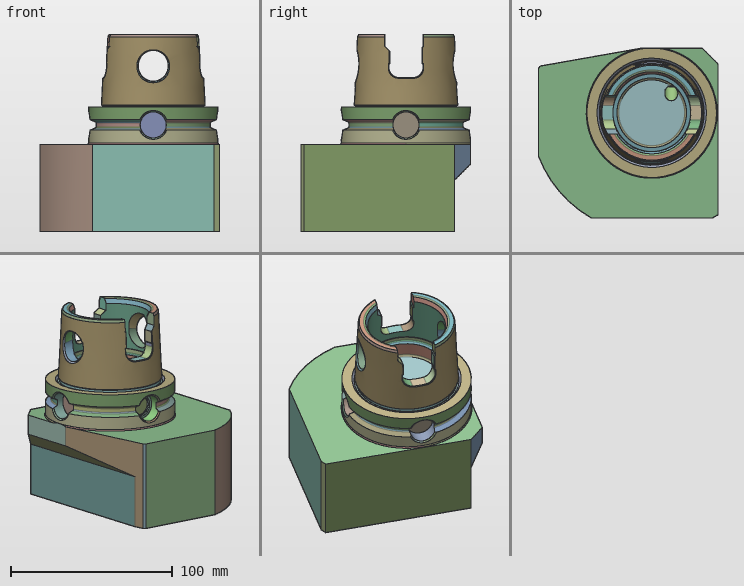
import cadquery as cq
import math


BLOCK_HEIGHT = 54.0
BLOCK_LEFT = 70.0
BLOCK_RIGHT = 41.0
BLOCK_BACK = 40.0
BLOCK_FRONT = 65.0
SWING_RADIUS = 75.0
BACK_CHAMFER = 9.9
BACK_LEDGE_Z = 41.8
BACK_FLAT_START_X = -6.1
BACK_SLANT_ANGLE = 10
LEFT_CORNER_SETBACK = 1.2
FRONT_CHAMFER_X = 3.4
FRONT_CHAMFER_Y = 2.0
BASE_RIM_HEIGHT = 0.9
BASE_RIM_RADIUS = 40.5

FLANGE_RADIUS = 80.0 / 2
FLANGE_HEIGHT = 23.0
FLANGE_TOP_Z = BLOCK_HEIGHT + FLANGE_HEIGHT
SHANK_FOOT_Z = BLOCK_HEIGHT + BASE_RIM_HEIGHT
GROOVE_Z = 66.0
GROOVE_FLOOR_RADIUS = 36.2
GROOVE_FLOOR_WIDTH = 3.4
GROOVE_FILLET = 0.9
GROOVE_MOUTH_WIDTH = 6.6
GRIPPER_DIAMETER = 16.1
GRIPPER_FLOOR = 31.0
GRIPPER_CHAMFER = 0.9

TOP_Z = 122.0
TAPER_BOTTOM_RADIUS = 32.1
TAPER_TOP_RADIUS = 30.0
RIM_CHAMFER_HEIGHT = 1.6
RIM_CHAMFER_WIDTH = 0.7
NECK_RADIUS = 31.3
NECK_HEIGHT = 1.2
RELIEF_DEPTH = 1.2
RELIEF_FLOOR_RADIUS = 32.4
RELIEF_MOUTH_RADIUS = 33.8

BORE_RADIUS = 48.0 / 2
BORE_FLOOR_Z = 87.4
BORE_FLOOR_FILLET = 0.6
UNDERCUT_DEPTH = 0.5
UNDERCUT_HEIGHT = 3.2
LEAD_IN_HEIGHT = 3.0
LEAD_IN_EDGE_RADIUS = 25.4
LEAD_IN_EDGE_DEPTH = 0.4
LEAD_IN_MOUTH_RADIUS = 26.6
POCKET_RADIUS = 43.0 / 2
POCKET_FLOOR_FILLET = 1.2
POCKET_FLOOR_Z = 78.0

SLOT_HALF_WIDTH = 10.5
LAND_HALF_WIDTH = 9.9
SLOT_LAND_Z = 103.4
SLOT_BOTTOM_Z = 95.2
SLOT_CORNER_RADIUS = 6.1
SLOT_STEP_Z = 114.5
SLOT_BACK_STEP = 10.6
SLOT_FRONT_STEP = 13.0
SLOT_CHAMFER = 0.5

BALL_HOLE_DIAMETER = 18.4
BALL_HOLE_Z = 102.2
BALL_HOLE_CHAMFER = 1.0
BALL_RAMP_TILT = 25
BALL_RAMP_PIVOT = 29.3

COOLANT_DIAMETER = 8.0
COOLANT_X = 12.1
COOLANT_Y = 12.1
COOLANT_TILT = 30
COOLANT_DEPTH = 14.6

SLOT_RIM_DISTANCE = 28.0
BALL_RIM_DISTANCE = 28.3
GRIPPER_RIM_DISTANCE = 36.6
EDGE_MARGIN = 0.1

CHIP_DIAMETER = 12.0
CHIP_SEAT_CHAMFER = 0.6
CHIP_RECESS = 1.8
CHIP_LENGTH = 4.9


def make_block():
    """Clamping block with the low conical rim that the flange stands on."""
    slant_drop = (BLOCK_LEFT + BACK_FLAT_START_X) * math.tan(math.radians(BACK_SLANT_ANGLE))
    left_corner_y = BLOCK_BACK - slant_drop
    arc_side_y = -math.sqrt(SWING_RADIUS**2 - BLOCK_LEFT**2)
    arc_front_x = -math.sqrt(SWING_RADIUS**2 - BLOCK_FRONT**2)
    arc_middle_angle = (math.atan2(-BLOCK_FRONT, arc_front_x) + math.atan2(arc_side_y, -BLOCK_LEFT)) / 2
    arc_middle = (SWING_RADIUS * math.cos(arc_middle_angle), SWING_RADIUS * math.sin(arc_middle_angle))
    corner_rise = LEFT_CORNER_SETBACK * math.tan(math.radians(BACK_SLANT_ANGLE))
    block = (
        cq.Workplane("XY")
        .moveTo(BACK_FLAT_START_X, BLOCK_BACK)
        .lineTo(BLOCK_RIGHT - BACK_CHAMFER, BLOCK_BACK)
        .lineTo(BLOCK_RIGHT, BLOCK_BACK - BACK_CHAMFER)
        .lineTo(BLOCK_RIGHT, -BLOCK_FRONT + FRONT_CHAMFER_Y)
        .lineTo(BLOCK_RIGHT - FRONT_CHAMFER_X, -BLOCK_FRONT)
        .lineTo(arc_front_x, -BLOCK_FRONT)
        .threePointArc(arc_middle, (-BLOCK_LEFT, arc_side_y))
        .lineTo(-BLOCK_LEFT, left_corner_y - LEFT_CORNER_SETBACK)
        .lineTo(-BLOCK_LEFT + LEFT_CORNER_SETBACK, left_corner_y + corner_rise)
        .close()
        .extrude(BLOCK_HEIGHT)
    )
    under_back = (
        cq.Workplane("YZ")
        .moveTo(BLOCK_BACK, BACK_LEDGE_Z)
        .lineTo(BLOCK_BACK - BACK_CHAMFER, BACK_LEDGE_Z - BACK_CHAMFER)
        .lineTo(BLOCK_BACK - BACK_CHAMFER, 0)
        .lineTo(BLOCK_BACK, 0)
        .close()
        .extrude(BLOCK_LEFT, both=True)
    )
    block = block.cut(under_back)
    base_rim = cq.Workplane(cq.Solid.makeCone(
        BASE_RIM_RADIUS, FLANGE_RADIUS, BASE_RIM_HEIGHT, cq.Vector(0, 0, BLOCK_HEIGHT)))
    behind_block = (
        cq.Workplane("XY", origin=(0, BLOCK_BACK + FLANGE_RADIUS / 2, BLOCK_HEIGHT))
        .box(2 * FLANGE_RADIUS, FLANGE_RADIUS, 2 * BASE_RIM_HEIGHT)
    )
    return block.union(base_rim.cut(behind_block))


def turned_body():
    """Flange and hollow taper cup, without the flange groove."""
    rim_z = TOP_Z - RIM_CHAMFER_HEIGHT
    undercut_radius = BORE_RADIUS + UNDERCUT_DEPTH
    undercut_top = BORE_FLOOR_Z + UNDERCUT_HEIGHT
    outside = [
        (0, SHANK_FOOT_Z),
        (FLANGE_RADIUS, SHANK_FOOT_Z),
        (FLANGE_RADIUS, FLANGE_TOP_Z),
        (RELIEF_MOUTH_RADIUS, FLANGE_TOP_Z),
        (RELIEF_FLOOR_RADIUS, FLANGE_TOP_Z - RELIEF_DEPTH),
        (NECK_RADIUS, FLANGE_TOP_Z - RELIEF_DEPTH),
        (NECK_RADIUS, FLANGE_TOP_Z + NECK_HEIGHT / 2),
        (TAPER_BOTTOM_RADIUS, FLANGE_TOP_Z + NECK_HEIGHT),
        (TAPER_TOP_RADIUS, rim_z),
        (TAPER_TOP_RADIUS - RIM_CHAMFER_WIDTH, TOP_Z),
    ]
    inside = [
        (LEAD_IN_MOUTH_RADIUS, TOP_Z),
        (LEAD_IN_EDGE_RADIUS, TOP_Z - LEAD_IN_EDGE_DEPTH),
        (BORE_RADIUS, TOP_Z - LEAD_IN_HEIGHT),
        (BORE_RADIUS, undercut_top),
        (undercut_radius, undercut_top),
        (undercut_radius, BORE_FLOOR_Z + BORE_FLOOR_FILLET),
    ]
    return (
        cq.Workplane("XZ")
        .polyline(outside + inside)
        .radiusArc((undercut_radius - BORE_FLOOR_FILLET, BORE_FLOOR_Z), BORE_FLOOR_FILLET)
        .lineTo(POCKET_RADIUS, BORE_FLOOR_Z)
        .lineTo(POCKET_RADIUS, POCKET_FLOOR_Z + POCKET_FLOOR_FILLET)
        .radiusArc((POCKET_RADIUS - POCKET_FLOOR_FILLET, POCKET_FLOOR_Z), POCKET_FLOOR_FILLET)
        .lineTo(0, POCKET_FLOOR_Z)
        .close()
        .revolve(360, (0, 0), (0, 1))
    )


def flange_groove():
    """V-shaped ring with a flat floor and rounded floor corners."""
    half_floor = GROOVE_FLOOR_WIDTH / 2
    half_mouth = GROOVE_MOUTH_WIDTH / 2
    profile = [
        (FLANGE_RADIUS, GROOVE_Z - half_mouth),
        (GROOVE_FLOOR_RADIUS, GROOVE_Z - half_floor),
        (GROOVE_FLOOR_RADIUS, GROOVE_Z + half_floor),
        (FLANGE_RADIUS, GROOVE_Z + half_mouth),
    ]
    ring = cq.Workplane("XZ").polyline(profile).close().revolve(360, (0, 0), (0, 1))
    floor_edges = cq.selectors.RadiusNthSelector(0)
    return ring.edges(floor_edges).fillet(GROOVE_FILLET)


def turn(body, degrees):
    """Turn a body about the axis."""
    return body.rotate((0, 0, 0), (0, 0, 1), degrees)


def left_rim_edges(body, distance, half_width, bottom_z, top_z):
    """Edges on the -X side, beyond a distance from the axis, centred between the limits."""
    box = cq.selectors.BoxSelector(
        (-BLOCK_LEFT, -half_width - EDGE_MARGIN, bottom_z - EDGE_MARGIN),
        (-distance, half_width + EDGE_MARGIN, top_z + EDGE_MARGIN),
    )
    return body.edges(box)


def slot_profile():
    """Round-cornered slot that narrows to a guide land on each side."""
    corner_y = SLOT_HALF_WIDTH - SLOT_CORNER_RADIUS
    corner_z = SLOT_BOTTOM_Z + SLOT_CORNER_RADIUS
    shoulder_z = SLOT_LAND_Z + SLOT_HALF_WIDTH - LAND_HALF_WIDTH
    return (
        cq.Workplane("YZ")
        .moveTo(-LAND_HALF_WIDTH, TOP_Z)
        .lineTo(-LAND_HALF_WIDTH, shoulder_z)
        .lineTo(-SLOT_HALF_WIDTH, SLOT_LAND_Z)
        .lineTo(-SLOT_HALF_WIDTH, corner_z)
        .radiusArc((-corner_y, SLOT_BOTTOM_Z), -SLOT_CORNER_RADIUS)
        .lineTo(corner_y, SLOT_BOTTOM_Z)
        .radiusArc((SLOT_HALF_WIDTH, corner_z), -SLOT_CORNER_RADIUS)
        .lineTo(SLOT_HALF_WIDTH, SLOT_LAND_Z)
        .lineTo(LAND_HALF_WIDTH, shoulder_z)
        .lineTo(LAND_HALF_WIDTH, TOP_Z)
        .close()
    )


def slot_step_profile():
    """Wider upper end of the slots, with a 45 degree shoulder on each side."""
    inner_y = LAND_HALF_WIDTH - SLOT_CHAMFER
    return (
        cq.Workplane("YZ")
        .moveTo(-SLOT_FRONT_STEP, TOP_Z)
        .lineTo(-SLOT_FRONT_STEP, SLOT_STEP_Z)
        .lineTo(-inner_y, SLOT_STEP_Z - (SLOT_FRONT_STEP - inner_y))
        .lineTo(inner_y, SLOT_STEP_Z - (SLOT_BACK_STEP - inner_y))
        .lineTo(SLOT_BACK_STEP, SLOT_STEP_Z)
        .lineTo(SLOT_BACK_STEP, TOP_Z)
        .close()
    )


def cut_drive_slots(cup):
    """Cut the two slots, break their outer edges, then widen their upper ends."""
    cup = cup.cut(slot_profile().extrude(FLANGE_RADIUS, both=True))
    for _ in range(2):
        rim = left_rim_edges(cup, SLOT_RIM_DISTANCE, SLOT_HALF_WIDTH, SLOT_BOTTOM_Z, SLOT_STEP_Z)
        cup = turn(rim.chamfer(SLOT_CHAMFER), 180)
    return cup.cut(slot_step_profile().extrude(FLANGE_RADIUS, both=True))


def cut_gripper_recesses(flange):
    """Cut four flat-bottomed round recesses with broken outer edges."""
    radius = GRIPPER_DIAMETER / 2
    recess = (
        cq.Workplane("YZ", origin=(-GRIPPER_FLOOR, 0, GROOVE_Z))
        .circle(radius)
        .extrude(GRIPPER_FLOOR - FLANGE_RADIUS)
    )
    for _ in range(4):
        flange = flange.cut(recess)
        rim = left_rim_edges(flange, GRIPPER_RIM_DISTANCE, radius, GROOVE_Z - radius, GROOVE_Z + radius)
        flange = turn(rim.chamfer(GRIPPER_CHAMFER), 90)
    return flange


def cut_ball_holes(cup):
    """Cut a chamfered hole on the -Y and +Y sides, each with a ramp bore that rises towards the axis."""
    radius = BALL_HOLE_DIAMETER / 2
    straight_bore = cq.Workplane("YZ", origin=(0, 0, BALL_HOLE_Z)).circle(radius).extrude(-FLANGE_RADIUS)
    ramp_bore = (
        cq.Workplane("YZ", origin=(-BALL_RAMP_PIVOT, 0, BALL_HOLE_Z))
        .circle(radius)
        .extrude(BALL_RAMP_PIVOT / 2)
        .rotate((-BALL_RAMP_PIVOT, 0, BALL_HOLE_Z), (-BALL_RAMP_PIVOT, 1, BALL_HOLE_Z), -BALL_RAMP_TILT)
    )
    cup = turn(cup, 90)
    for _ in range(2):
        cup = cup.cut(straight_bore)
        rim = left_rim_edges(cup, BALL_RIM_DISTANCE, radius, BALL_HOLE_Z - radius, BALL_HOLE_Z + radius)
        cup = turn(rim.chamfer(BALL_HOLE_CHAMFER).cut(ramp_bore), 180)
    return turn(cup, -90)


def coolant_hole():
    """Blind hole in the pocket floor, leaning towards +Y as it goes down."""
    tilt = math.radians(COOLANT_TILT)
    downward = cq.Vector(0, math.sin(tilt), -math.cos(tilt))
    mouth = cq.Vector(COOLANT_X, COOLANT_Y, POCKET_FLOOR_Z)
    start = mouth - downward * COOLANT_DIAMETER
    return cq.Workplane(cq.Solid.makeCylinder(
        COOLANT_DIAMETER / 2, COOLANT_DIAMETER + COOLANT_DEPTH, start, downward))


def chip_seat():
    """Chamfered hole in the floor of the -X gripper recess."""
    radius = CHIP_DIAMETER / 2
    hole = (
        cq.Workplane("YZ", origin=(-GRIPPER_FLOOR, 0, GROOVE_Z))
        .circle(radius)
        .extrude(CHIP_RECESS + CHIP_LENGTH)
    )
    mouth = cq.Solid.makeCone(
        radius + CHIP_SEAT_CHAMFER, radius, CHIP_SEAT_CHAMFER,
        cq.Vector(-GRIPPER_FLOOR, 0, GROOVE_Z), cq.Vector(1, 0, 0))
    return hole.union(cq.Workplane(mouth))


def make_chip_plug():
    """Round plug set back in the chip seat."""
    return (
        cq.Workplane("YZ", origin=(-GRIPPER_FLOOR + CHIP_RECESS, 0, GROOVE_Z))
        .circle(CHIP_DIAMETER / 2)
        .extrude(CHIP_LENGTH)
    )


def make_shank():
    """Flange and taper cup in one piece."""
    shank = cut_gripper_recesses(turned_body())
    shank = shank.cut(flange_groove())
    shank = cut_drive_slots(shank)
    shank = cut_ball_holes(shank)
    return shank.cut(coolant_hole()).cut(chip_seat())


block = make_block()
shank = make_shank()
chip_plug = make_chip_plug()
result = cq.Compound.makeCompound([block.val(), shank.val(), chip_plug.val()])